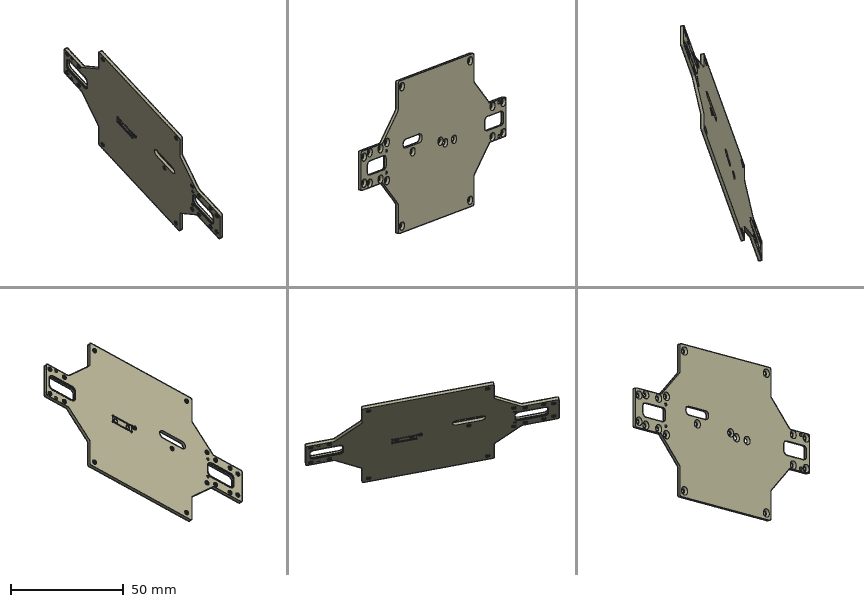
import cadquery as cq

LENGTH = 115.0
HEIGHT = 70.0
THICKNESS = 1.5
FRONT_Y = -THICKNESS / 2
BACK_Y = THICKNESS / 2

BODY_CENTER_X = -2.0
BODY_WIDTH = 60.0
TAB_CENTER_Z = 0.25
TAB_HEIGHT = 18.0
FLANK_RUN = 12.5
OUTLINE_RADIUS = 1.0

SCREW_DIAMETER = 2.0
COUNTERSINK_DIAMETER = 3.8
COUNTERSINK_DEPTH = 1.0
CORNER_HOLE_INSET = 3.0
LEFT_TAB_SCREWS_X = (-55.25, -46.75)
RIGHT_TAB_SCREWS_X = (42.0, 50.5)
TAB_SCREW_OFFSET_Z = 7.0
FLANK_SCREW = (36.9, 8.75)
END_SCREW = (55.0, 6.0)
CENTERLINE_SCREWS_X = (-5.5, 16.5)

LEFT_PIN_DIAMETER = 1.5
LEFT_PIN = (-51.75, 7.75)
RIGHT_PIN_DIAMETER = 1.2
RIGHT_PIN = (37.35, 5.0)

WINDOW_CENTERS_X = (-48.0, 45.0)
RECESS_LENGTH = 15.1
RECESS_HEIGHT = 8.0
RECESS_DEPTH = 0.5
OPENING_LENGTH = 15.0
OPENING_HEIGHT = 6.5
WINDOW_RADIUS = 2.0

SLOT_LENGTH = 15.0
SLOT_HEIGHT = 4.0
SLOT_CENTER = (16.6, 5.0)

POCKET_LENGTH = 11.0
POCKET_HEIGHT = 3.5
POCKET_DEPTH = 0.5
POCKET_CENTER = (-12.75, -1.5)
RELIEF_DIAMETER = 0.5
POCKET_SCREW_SPACING = 7.0


def front_face(z=0.0):
    """Workplane on the front face; positive extrusions run outward, toward -Y."""
    plane = cq.Plane(origin=(0, FRONT_Y, z), xDir=(1, 0, 0), normal=(0, -1, 0))
    return cq.Workplane(plane)


def tab_face():
    """Front face workplane centered on the tab centerline."""
    return front_face(z=TAB_CENTER_Z)


def mirrored(point):
    """The point and its twin across the local centerline."""
    x, z = point
    return [(x, z), (x, -z)]


def plate():
    left = BODY_CENTER_X - BODY_WIDTH / 2
    right = BODY_CENTER_X + BODY_WIDTH / 2
    tab_top = TAB_CENTER_Z + TAB_HEIGHT / 2
    tab_bottom = TAB_CENTER_Z - TAB_HEIGHT / 2
    outline = [
        (-LENGTH / 2, tab_top),
        (left - FLANK_RUN, tab_top),
        (left, tab_top + FLANK_RUN),
        (left, HEIGHT / 2),
        (right, HEIGHT / 2),
        (right, tab_top + FLANK_RUN),
        (right + FLANK_RUN, tab_top),
        (LENGTH / 2, tab_top),
        (LENGTH / 2, tab_bottom),
        (right + FLANK_RUN, tab_bottom),
        (right, tab_bottom - FLANK_RUN),
        (right, -HEIGHT / 2),
        (left, -HEIGHT / 2),
        (left, tab_bottom - FLANK_RUN),
        (left - FLANK_RUN, tab_bottom),
        (-LENGTH / 2, tab_bottom),
    ]
    body = front_face().polyline(outline).close().extrude(-THICKNESS)
    return body.edges("|Y").fillet(OUTLINE_RADIUS)


def rounded_window(center_x, length, height, depth):
    block = tab_face().center(center_x, 0).rect(length, height).extrude(-depth)
    return block.edges("|Y").fillet(WINDOW_RADIUS)


def stepped_window(center_x):
    recess = rounded_window(center_x, RECESS_LENGTH, RECESS_HEIGHT, RECESS_DEPTH)
    opening = rounded_window(center_x, OPENING_LENGTH, OPENING_HEIGHT, THICKNESS)
    return recess.union(opening)


def slot():
    return tab_face().center(*SLOT_CENTER).slot2D(SLOT_LENGTH, SLOT_HEIGHT).extrude(-THICKNESS)


def relieved_pocket():
    pocket = tab_face().center(*POCKET_CENTER).rect(POCKET_LENGTH, POCKET_HEIGHT).extrude(-POCKET_DEPTH)
    reliefs = (
        tab_face().center(*POCKET_CENTER)
        .rect(POCKET_LENGTH, POCKET_HEIGHT, forConstruction=True).vertices()
        .circle(RELIEF_DIAMETER / 2).extrude(-POCKET_DEPTH)
    )
    return pocket.union(reliefs)


def through_holes(face, points, diameter):
    return face.pushPoints(points).circle(diameter / 2).extrude(-THICKNESS)


def countersunk_holes(face, points):
    cone = cq.Solid.makeCone(
        SCREW_DIAMETER / 2,
        COUNTERSINK_DIAMETER / 2,
        COUNTERSINK_DEPTH,
        cq.Vector(0, BACK_Y - COUNTERSINK_DEPTH, 0),
        cq.Vector(0, 1, 0),
    )
    center_z = face.plane.origin.z
    cutter = through_holes(face, points, SCREW_DIAMETER)
    for x, z in points:
        cutter = cutter.union(cq.Workplane(cone.translate(cq.Vector(x, 0, center_z + z))))
    return cutter


def corner_holes():
    offset_x = BODY_WIDTH / 2 - CORNER_HOLE_INSET
    offset_z = HEIGHT / 2 - CORNER_HOLE_INSET
    points = mirrored((BODY_CENTER_X - offset_x, offset_z))
    points += mirrored((BODY_CENTER_X + offset_x, offset_z))
    return countersunk_holes(front_face(), points)


def inner_screw_holes():
    """Screw holes of the tabs, the centerline and the pocket."""
    points = mirrored(FLANK_SCREW) + mirrored(END_SCREW)
    for x in LEFT_TAB_SCREWS_X + RIGHT_TAB_SCREWS_X:
        points += mirrored((x, TAB_SCREW_OFFSET_Z))
    for x in CENTERLINE_SCREWS_X:
        points.append((x, 0))
    pocket_x, pocket_z = POCKET_CENTER
    for side in (-1, 1):
        points.append((pocket_x + side * POCKET_SCREW_SPACING / 2, pocket_z))
    return countersunk_holes(tab_face(), points)


def pin_holes():
    left = through_holes(tab_face(), mirrored(LEFT_PIN), LEFT_PIN_DIAMETER)
    right = through_holes(tab_face(), mirrored(RIGHT_PIN), RIGHT_PIN_DIAMETER)
    return left.union(right)


result = plate()
for window_x in WINDOW_CENTERS_X:
    result = result.cut(stepped_window(window_x))
result = result.cut(slot())
result = result.cut(relieved_pocket())
result = result.cut(corner_holes())
result = result.cut(inner_screw_holes())
result = result.cut(pin_holes())